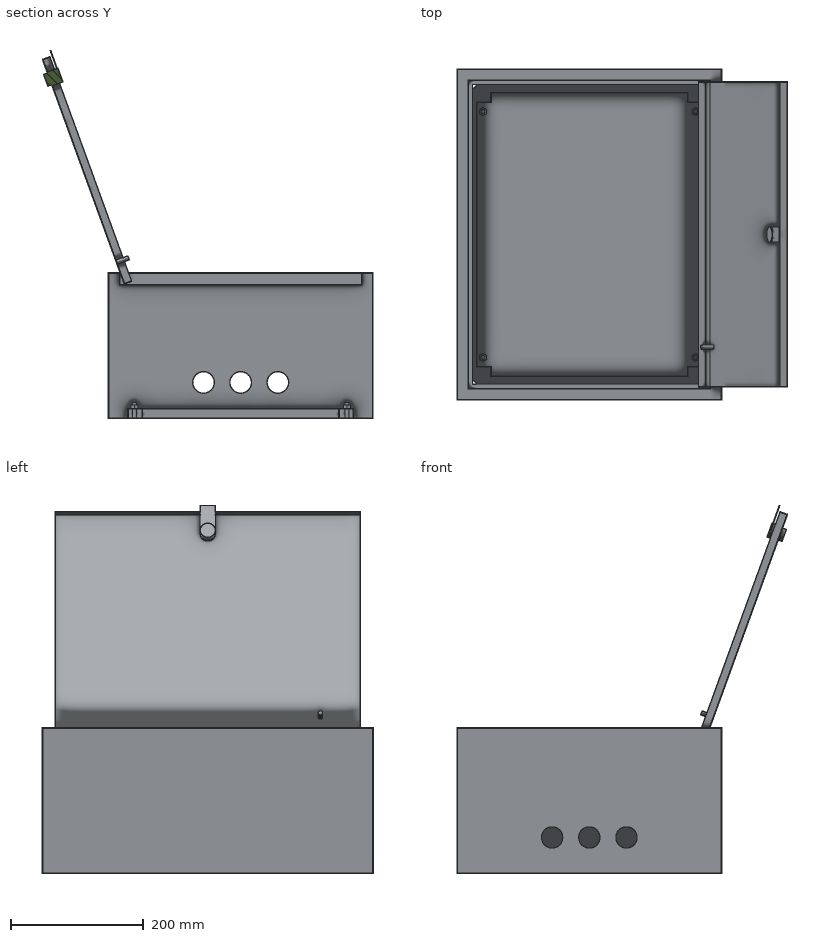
import cadquery as cq
import math

sheet = 1.0

box_x = 400.0
box_y = 500.0
box_z = 220.0
rim_width = 18.0
ledge_width = 6.0
recess_depth = 18.0
cable_hole_diameter = 32.0
cable_hole_count = 3
cable_hole_pitch = 56.0
cable_hole_z = 54.5
corner_hole_diameter = 9.0
corner_hole_inset = 24.5

plate_margin_x = 29.5
plate_margin_y = 35.5
plate_top_z = 15.0
notch_x = 21.5
notch_y = 14.5
fixing_inset_x = 10.0
fixing_inset_y = 29.0
stud_diameter = 6.0
nut_corners = 12.0
nut_height = 5.5
stud_end_height = 3.5

door_angle = 70.0
door_gap = 1.5
door_depth = 12.0
door_below_hinge = 18.5
door_stud_diameter = 6.5
door_stud_y = 80.0
door_stud_along = 16.5
door_stud_end = 20.0

lock_diameter = 23.0
lock_along = 311.0
lock_knob_diameter = 19.5
lock_knob_height = 6.0
lock_end = 18.0
cam_top = 16.5
cam_thickness = 1.0
cam_end_along = 351.0

hinge_x = box_x - rim_width
hinge_z = box_z
door_length = box_x - 2 * (rim_width + door_gap)
door_y0 = rim_width + door_gap
door_width = box_y - 2 * door_y0
ledge_z = box_z - recess_depth
slope = math.radians(door_angle)

door_plane = cq.Plane(
    origin=(hinge_x, 0, hinge_z),
    xDir=(math.cos(slope), 0, math.sin(slope)),
    normal=(-math.sin(slope), 0, math.cos(slope)),
)


def inset_block(inset_x, inset_y, z_low, z_high):
    """Box centred in the housing plan, set in from the housing sides."""
    return (
        cq.Workplane("XY")
        .box(box_x - 2 * inset_x, box_y - 2 * inset_y, z_high - z_low, centered=(True, True, False))
        .translate((box_x / 2, box_y / 2, z_low))
    )


def door_block(along, across, length, width, low, high):
    """Box in the frame of the door, from a lower corner."""
    return (
        cq.Workplane(door_plane)
        .box(length, width, high - low, centered=False)
        .translate(door_plane.toWorldCoords((along, across, low)) - door_plane.origin)
    )


def door_cylinder(along, across, diameter, low, high):
    """Cylinder square to the door."""
    return (
        cq.Workplane(door_plane)
        .workplane(offset=low)
        .center(along, across)
        .circle(diameter / 2)
        .extrude(high - low)
    )


def make_housing():
    shell = inset_block(0, 0, 0, box_z).cut(inset_block(sheet, sheet, sheet, box_z - sheet))
    fold = rim_width - sheet
    ledge_inner = rim_width + ledge_width
    door_frame = inset_block(fold, fold, ledge_z - sheet, box_z)
    housing = (
        shell.union(door_frame)
        .cut(inset_block(rim_width, rim_width, ledge_z, box_z))
        .cut(inset_block(ledge_inner, ledge_inner, sheet, box_z))
    )
    cable_holes = (
        cq.Workplane("XZ", origin=(box_x / 2, 0, cable_hole_z))
        .rarray(cable_hole_pitch, 5.5, cable_hole_count, 1)
        .circle(cable_hole_diameter / 2)
        .extrude(-sheet)
    )
    corner_holes = (
        cq.Workplane("XY", origin=(box_x / 2, box_y / 2, 0))
        .rect(box_x - 2 * corner_hole_inset, box_y - 2 * corner_hole_inset, forConstruction=True)
        .vertices()
        .circle(corner_hole_diameter / 2)
        .extrude(sheet)
    )
    return housing.cut(cable_holes).cut(corner_holes)


def fixing_points():
    inset_x = plate_margin_x + fixing_inset_x
    inset_y = plate_margin_y + fixing_inset_y
    return [(x, y) for x in (inset_x, box_x - inset_x) for y in (inset_y, box_y - inset_y)]


def plate_cross(wall, z_low, z_high):
    """Plate outline with notched corners, moved inward by the given wall."""
    edge_x = plate_margin_x + wall
    edge_y = plate_margin_y + wall
    long_part = inset_block(edge_x + notch_x, edge_y, z_low, z_high)
    wide_part = inset_block(edge_x, edge_y + notch_y, z_low, z_high)
    return long_part.union(wide_part)


def make_plate():
    tray = plate_cross(0, sheet, plate_top_z).cut(plate_cross(sheet, sheet, plate_top_z - sheet))
    stud_holes = (
        cq.Workplane("XY")
        .pushPoints(fixing_points())
        .circle(stud_diameter / 2)
        .extrude(plate_top_z)
    )
    return tray.cut(stud_holes)


def make_fixing(x, y):
    """Threaded stud on the housing floor, in one piece with its hexagon nut."""
    stud = (
        cq.Workplane("XY", origin=(x, y, sheet))
        .circle(stud_diameter / 2)
        .extrude(plate_top_z - sheet + nut_height + stud_end_height)
    )
    nut = (
        cq.Workplane("XY", origin=(x, y, plate_top_z))
        .transformed(rotate=(0, 0, 90))
        .polygon(6, nut_corners)
        .extrude(nut_height)
    )
    return stud.union(nut)


def make_door():
    pan = door_block(-door_below_hinge, door_y0, door_length, door_width, 0, door_depth)
    hollow = door_block(
        sheet - door_below_hinge,
        door_y0 + sheet,
        door_length - 2 * sheet,
        door_width - 2 * sheet,
        sheet,
        door_depth,
    )
    stud = door_cylinder(door_stud_along, door_stud_y, door_stud_diameter, 0, door_stud_end)
    lock_hole = door_cylinder(lock_along, box_y / 2, lock_diameter, 0, sheet)
    return pan.cut(hollow).union(stud).cut(lock_hole)


def make_lock():
    knob = door_cylinder(lock_along, box_y / 2, lock_knob_diameter, -lock_knob_height, 0)
    barrel = door_cylinder(lock_along, box_y / 2, lock_diameter, 0, lock_end)
    cam = door_block(
        lock_along,
        (box_y - lock_diameter) / 2,
        cam_end_along - lock_along,
        lock_diameter,
        cam_top - cam_thickness,
        cam_top,
    )
    return knob.union(barrel).union(cam)


housing = make_housing()
plate = make_plate()
fixings = [make_fixing(x, y) for x, y in fixing_points()]
door = make_door()
lock = make_lock()

result = cq.Compound.makeCompound(
    [housing.val(), plate.val(), *[fixing.val() for fixing in fixings], door.val(), lock.val()]
)